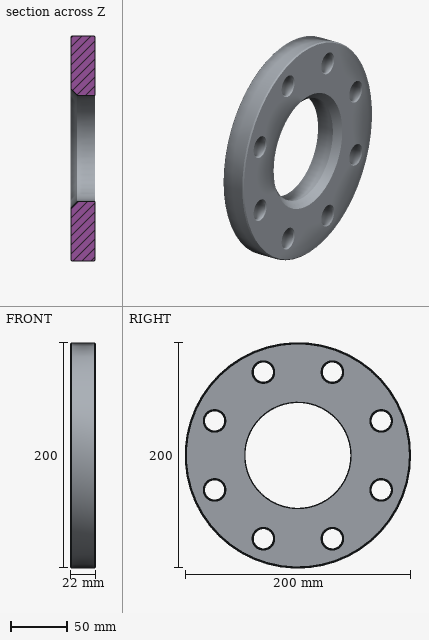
import cadquery as cq

outer_diameter = 200
thickness = 22
bore_diameter = 94
bore_mouth_diameter = 106
bore_chamfer = (bore_mouth_diameter - bore_diameter) / 2
rim_chamfer = 1.0

hole_count = 8
hole_diameter = 18
hole_circle_diameter = 160
hole_chamfer = 1.0
hole_pitch_angle = 360 / hole_count
first_hole_angle = hole_pitch_angle / 2


def flange_disc():
    """Solid disc with both rim edges chamfered."""
    disc = cq.Workplane("YZ").circle(outer_diameter / 2).extrude(thickness)
    return disc.edges().chamfer(rim_chamfer)


def bore_cutter():
    """Through bore with a 45 degree conical mouth on the -X face."""
    bore_radius = bore_diameter / 2
    mouth_radius = bore_mouth_diameter / 2
    half_section = (
        cq.Workplane("XY")
        .moveTo(0, 0)
        .lineTo(0, mouth_radius)
        .lineTo(bore_chamfer, bore_radius)
        .lineTo(thickness, bore_radius)
        .lineTo(thickness, 0)
        .close()
    )
    return half_section.revolve(360, (0, 0, 0), (1, 0, 0))


def bolt_hole_cutters():
    """Ring of through holes, widened by a chamfer at both faces."""
    mouth_radius = hole_diameter / 2 + hole_chamfer
    mouths = (
        cq.Workplane("YZ")
        .polarArray(hole_circle_diameter / 2, first_hole_angle, 360, hole_count)
        .circle(mouth_radius)
        .extrude(hole_chamfer, taper=45)
    )
    far_mouths = mouths.mirror("YZ").translate((thickness, 0, 0))
    shafts = (
        cq.Workplane("YZ")
        .polarArray(hole_circle_diameter / 2, first_hole_angle, 360, hole_count)
        .circle(hole_diameter / 2)
        .extrude(thickness)
    )
    return shafts.union(mouths).union(far_mouths)


result = flange_disc().cut(bore_cutter()).cut(bolt_hole_cutters())